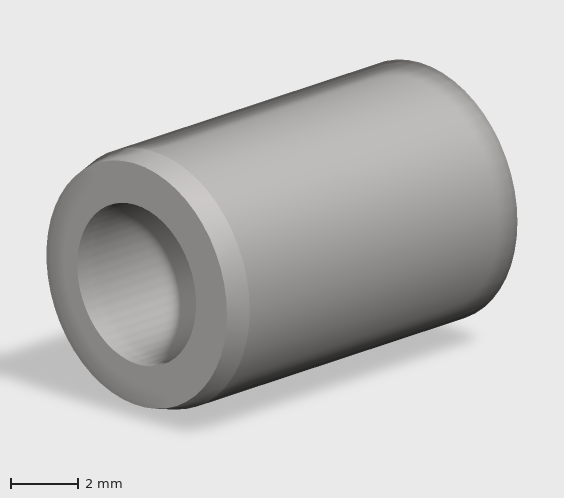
import cadquery as cq
import math

length = 12.0
outer_diameter = 8.0
bore_diameter = 5.0
lead_in_length = 0.75
lead_in_angle = 15.0

outer_radius = outer_diameter / 2
bore_radius = bore_diameter / 2
lead_in_depth = lead_in_length * math.tan(math.radians(lead_in_angle))

front_y = -length / 2
back_y = length / 2

wall_section = (
    cq.Workplane("XY")
    .moveTo(bore_radius, front_y)
    .lineTo(outer_radius - lead_in_depth, front_y)
    .lineTo(outer_radius, front_y + lead_in_length)
    .lineTo(outer_radius, back_y)
    .lineTo(bore_radius, back_y)
    .close()
)

result = wall_section.revolve(360, (0, 0, 0), (0, 1, 0))